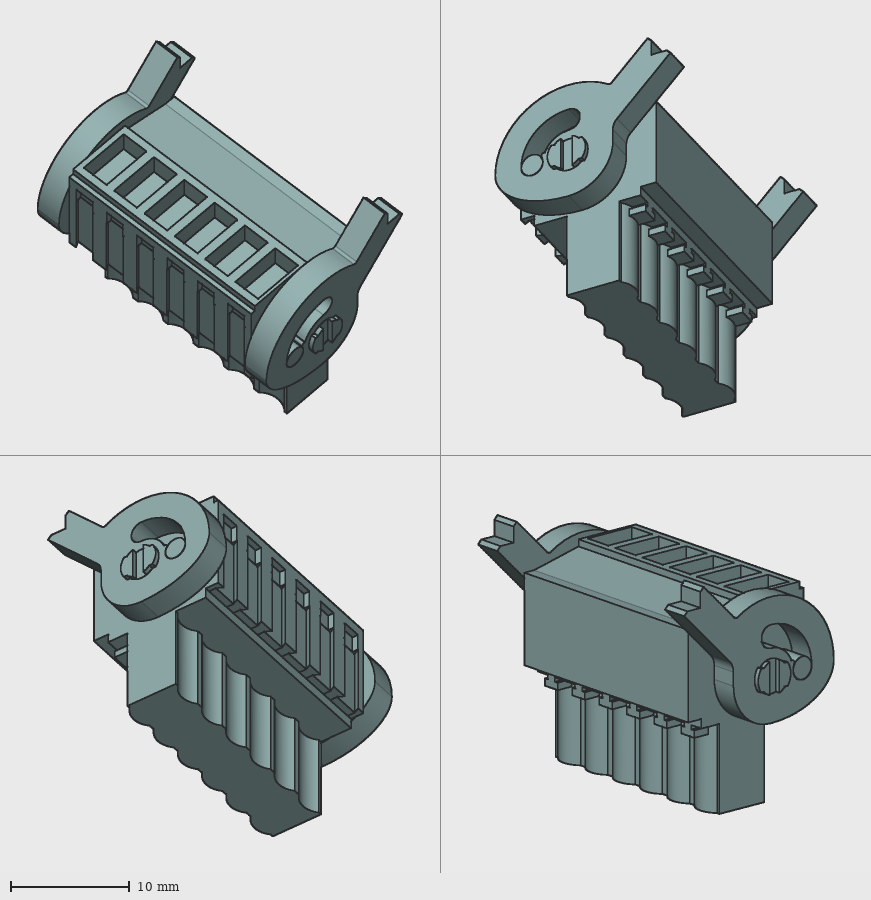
import cadquery as cq
import math


POLES = 6
POLE_PITCH = 3.5
HOUSING_LENGTH = POLES * POLE_PITCH
HOUSING_END = HOUSING_LENGTH / 2

FRONT_Y = -6.0
FRONT_LIP_Y = -5.53
FRONT_LIP_Z = 5.9
TOP_Z = 6.55
RIDGE_BACK_Y = 0.82
SLOPE_TOP_Z = 5.92
SLOPE_END_Y = 5.75
BACK_LEDGE_Z = 4.85
BACK_Y = 6.85
BACK_BOTTOM_Z = -3.32
BASE_BACK_Y = 5.37
BASE_FRONT_Y = -4.7
BASE_Z = -4.16
FRONT_BOTTOM_Z = -3.15

SKIRT_FRONT_Y = -1.62
SKIRT_BACK_Y = 3.37
SKIRT_BOTTOM_Z = -12.1
SCALLOP_WIDTH = 2.9
SCALLOP_DEPTH = 0.6
SCALLOP_RADIUS = (SCALLOP_WIDTH**2 / 4 + SCALLOP_DEPTH**2) / (2 * SCALLOP_DEPTH)

RIB_HEAD_WIDTH = 1.65
RIB_NECK_WIDTH = 0.93
RIB_NECK_BOTTOM_Z = -4.55
RIB_BOTTOM_Z = -5.2

OPENING_LENGTH_X = 2.63
OPENING_FRONT_Y = -4.8
OPENING_BACK_Y = 0.08
OPENING_DEPTH = 2.05
OPENING_OFFSET_X = 0.1

SLOT_WIDTH = 1.9
SLOT_TOP_Z = 4.88
SLOT_FLOOR_Y = -5.43
TRACK_MOUTH_WIDTH = 1.95
SLIDER_WIDTH = 2.55
SLIDER_TOP_Z = 3.3

LEVER_GAP = 0.25
LEVER_THICKNESS = 2.47
LEVER_INNER_X = HOUSING_END + LEVER_GAP
LEVER_OUTER_X = LEVER_INNER_X + LEVER_THICKNESS
HUB_RADIUS = 4.16
CAM_RADIUS = 7.01
ARM_LOWER_TIP = (9.65, 7.3)
ARM_UPPER_TIP = (7.48, 9.43)
ARM_TIP_LAND = 0.35
ARM_LOWER_FILLET = 1.37
ARM_UPPER_FILLET = 0.27

OVERALL_LENGTH = 27.4
PIVOT_END = OVERALL_LENGTH / 2
PIVOT_RADIUS = 1.55
PIVOT_SLIT_WIDTH = 1.07
CATCH_RADIUS = 1.8
CATCH_HEIGHT = 2.1
PIN_RADIUS = 1.01
PIN_ORBIT_RADIUS = 3.5
PIN_CLEARANCE = 0.03

DETENT_TIP_Y = -2.6
DETENT_ROOT_Y = -2.25
DETENT_TOP_Z = 0.9
DETENT_FILLET = 0.22

SIDES = (-1, 1)
pole_centers = [(i - (POLES - 1) / 2) * POLE_PITCH for i in range(POLES)]


def block(x_range, y_range, z_range):
    """Box given by its limits along each axis."""
    size = [high - low for low, high in (x_range, y_range, z_range)]
    corner = (x_range[0], y_range[0], z_range[0])
    return cq.Workplane("XY").box(*size, centered=False).translate(corner)


def centered_range(center, width):
    return (center - width / 2, center + width / 2)


def end_plane(side, x):
    """YZ sketch plane at distance x from the middle, for extruding toward that end."""
    return cq.Workplane("YZ", origin=(side * x, 0, 0))


def make_housing_block():
    outline = [
        (FRONT_LIP_Y, TOP_Z),
        (RIDGE_BACK_Y, TOP_Z),
        (RIDGE_BACK_Y, SLOPE_TOP_Z),
        (SLOPE_END_Y, BACK_LEDGE_Z),
        (BACK_Y, BACK_LEDGE_Z),
        (BACK_Y, BACK_BOTTOM_Z),
        (BASE_BACK_Y, BACK_BOTTOM_Z),
        (BASE_BACK_Y, BASE_Z),
        (BASE_FRONT_Y, BASE_Z),
        (BASE_FRONT_Y, FRONT_BOTTOM_Z),
        (FRONT_Y, FRONT_BOTTOM_Z),
        (FRONT_Y, FRONT_LIP_Z),
        (FRONT_LIP_Y, FRONT_LIP_Z),
    ]
    return cq.Workplane("YZ").polyline(outline).close().extrude(HOUSING_END, both=True)


def make_skirt():
    """Wall with a rounded lobe behind each pole and a matching groove in front of it."""
    arc_setback = SCALLOP_RADIUS - SCALLOP_DEPTH
    z_range = (SKIRT_BOTTOM_Z, BASE_Z)
    x_range = (-HOUSING_END, HOUSING_END)
    bottom = cq.Workplane("XY", origin=(0, 0, SKIRT_BOTTOM_Z))
    skirt = block(x_range, (SKIRT_FRONT_Y, SKIRT_BACK_Y), z_range)
    behind_skirt = block(x_range, (SKIRT_BACK_Y, SKIRT_BACK_Y + SCALLOP_DEPTH), z_range)
    for x in pole_centers:
        column = bottom.circle(SCALLOP_RADIUS).extrude(BASE_Z - SKIRT_BOTTOM_Z)
        lobe = column.translate((x, SKIRT_BACK_Y - arc_setback, 0)).intersect(behind_skirt)
        groove = column.translate((x, SKIRT_FRONT_Y - arc_setback, 0))
        skirt = skirt.union(lobe).cut(groove)
    return skirt


def make_coding_rib(x):
    y_range = (SKIRT_BACK_Y, BASE_BACK_Y)
    neck = block(centered_range(x, RIB_NECK_WIDTH), y_range, (RIB_BOTTOM_Z, BASE_Z))
    head = block(centered_range(x, RIB_HEAD_WIDTH), y_range, (RIB_BOTTOM_Z, RIB_NECK_BOTTOM_Z))
    return neck.union(head)


def make_wire_opening(x):
    return block(
        centered_range(x + OPENING_OFFSET_X, OPENING_LENGTH_X),
        (OPENING_FRONT_Y, OPENING_BACK_Y),
        (TOP_Z - OPENING_DEPTH, TOP_Z),
    )


def make_front_slot(x):
    return block(centered_range(x, SLOT_WIDTH), (FRONT_Y, SLOT_FLOOR_Y), (SLIDER_TOP_Z, SLOT_TOP_Z))


def make_slider_track(x):
    """Undercut groove below the slot, widening from its mouth to the face of the slider."""
    profile = [
        (x - TRACK_MOUTH_WIDTH / 2, FRONT_Y),
        (x + TRACK_MOUTH_WIDTH / 2, FRONT_Y),
        (x + SLIDER_WIDTH / 2, SLOT_FLOOR_Y),
        (x - SLIDER_WIDTH / 2, SLOT_FLOOR_Y),
    ]
    bottom = cq.Workplane("XY", origin=(0, 0, FRONT_BOTTOM_Z))
    return bottom.polyline(profile).close().extrude(SLIDER_TOP_Z - FRONT_BOTTOM_Z)


def make_slider(x):
    """Plate that fills the housing wall between the track and the base."""
    return block(
        centered_range(x, SLIDER_WIDTH), (SLOT_FLOOR_Y, BASE_FRONT_Y), (FRONT_BOTTOM_Z, SLIDER_TOP_Z)
    )


def make_pivot(side):
    """Stub axle with two catch wings and a screwdriver slit in its outer end."""
    catch_length = PIVOT_END - LEVER_OUTER_X
    axle = end_plane(side, HOUSING_END).circle(PIVOT_RADIUS).extrude(side * (PIVOT_END - HOUSING_END))
    outer = end_plane(side, LEVER_OUTER_X)
    wings = outer.circle(CATCH_RADIUS).extrude(side * catch_length)
    wing_band = outer.rect(2 * CATCH_RADIUS, CATCH_HEIGHT).extrude(side * catch_length)
    slit = outer.rect(PIVOT_SLIT_WIDTH, 2 * CATCH_RADIUS).extrude(side * catch_length)
    return axle.union(wings.intersect(wing_band)).cut(slit)


def make_stop_pin(side):
    pin = end_plane(side, HOUSING_END).center(-PIN_ORBIT_RADIUS, 0).circle(PIN_RADIUS)
    return pin.extrude(side * (LEVER_OUTER_X - HOUSING_END))


def make_housing():
    housing = make_housing_block().union(make_skirt())
    for x in pole_centers:
        housing = housing.union(make_coding_rib(x))
        housing = housing.cut(make_wire_opening(x))
        housing = housing.cut(make_front_slot(x))
        housing = housing.cut(make_slider_track(x))
        housing = housing.cut(make_slider(x))
    for side in SIDES:
        housing = housing.union(make_pivot(side)).union(make_stop_pin(side))
    return housing


def make_lever_blank(side):
    """Cam plate: a large quarter round, an elliptical quarter, the hub quarter and a 45 degree arm."""
    lower_y, lower_z = ARM_LOWER_TIP
    upper_y, upper_z = ARM_UPPER_TIP
    elbow = (HUB_RADIUS, lower_z - (lower_y - HUB_RADIUS))
    rise = upper_z - upper_y
    crook_y = (math.sqrt(2 * CAM_RADIUS**2 - rise**2) - rise) / 2
    crook = (crook_y, crook_y + rise)
    middle_angle = (math.atan2(crook[1], crook[0]) + math.pi) / 2
    cam_middle = (CAM_RADIUS * math.cos(middle_angle), CAM_RADIUS * math.sin(middle_angle))
    hub_middle = (HUB_RADIUS * math.sqrt(0.5), -HUB_RADIUS * math.sqrt(0.5))
    lower_land = (lower_y - ARM_TIP_LAND, lower_z + ARM_TIP_LAND)
    upper_land = (upper_y + ARM_TIP_LAND, upper_z - ARM_TIP_LAND)
    notch = (upper_land[0], lower_land[1])

    blank = (
        end_plane(side, LEVER_INNER_X)
        .moveTo(-CAM_RADIUS, 0)
        .ellipseArc(CAM_RADIUS, HUB_RADIUS, 180, 270, startAtCurrent=True)
        .threePointArc(hub_middle, (HUB_RADIUS, 0))
        .lineTo(*elbow)
        .lineTo(*ARM_LOWER_TIP)
        .lineTo(*lower_land)
        .lineTo(*notch)
        .lineTo(*upper_land)
        .lineTo(*ARM_UPPER_TIP)
        .lineTo(*crook)
        .threePointArc(cam_middle, (-CAM_RADIUS, 0))
        .close()
        .extrude(side * LEVER_THICKNESS)
    )
    middle_x = side * (LEVER_INNER_X + LEVER_THICKNESS / 2)
    blank = blank.edges(cq.NearestToPointSelector((middle_x, *elbow))).fillet(ARM_LOWER_FILLET)
    return blank.edges(cq.NearestToPointSelector((middle_x, *crook))).fillet(ARM_UPPER_FILLET)


def make_guide_slot(side):
    """Quarter-turn slot for the stop pin, with a detent bump beside the pin."""
    slot_radius = PIN_RADIUS + PIN_CLEARANCE
    inner = PIN_ORBIT_RADIUS - slot_radius
    outer = PIN_ORBIT_RADIUS + slot_radius
    diagonal = math.sqrt(0.5)
    plane = end_plane(side, LEVER_INNER_X)
    pin_seat = plane.center(-PIN_ORBIT_RADIUS, 0).circle(slot_radius).extrude(side * LEVER_THICKNESS)
    detent = (
        plane.moveTo((DETENT_TIP_Y + DETENT_ROOT_Y) / 2, 0)
        .rect(DETENT_ROOT_Y - DETENT_TIP_Y, 2 * DETENT_TOP_Z)
        .extrude(side * LEVER_THICKNESS)
        .edges("|X and <Y and >Z")
        .fillet(DETENT_FILLET)
    )
    slot = (
        plane.moveTo(-inner, 0)
        .threePointArc((-inner * diagonal, inner * diagonal), (0, inner))
        .threePointArc((slot_radius, PIN_ORBIT_RADIUS), (0, outer))
        .threePointArc((-outer * diagonal, outer * diagonal), (-outer, 0))
        .close()
        .extrude(side * LEVER_THICKNESS)
    )
    return slot.cut(detent).union(pin_seat)


def make_lever(side):
    pivot_hole = end_plane(side, LEVER_INNER_X).circle(PIVOT_RADIUS).extrude(side * LEVER_THICKNESS)
    return make_lever_blank(side).cut(pivot_hole).cut(make_guide_slot(side))


housing = make_housing()
sliders = [make_slider(x) for x in pole_centers]
levers = [make_lever(side) for side in SIDES]

result = cq.Compound.makeCompound([body.val() for body in [housing, *sliders, *levers]])